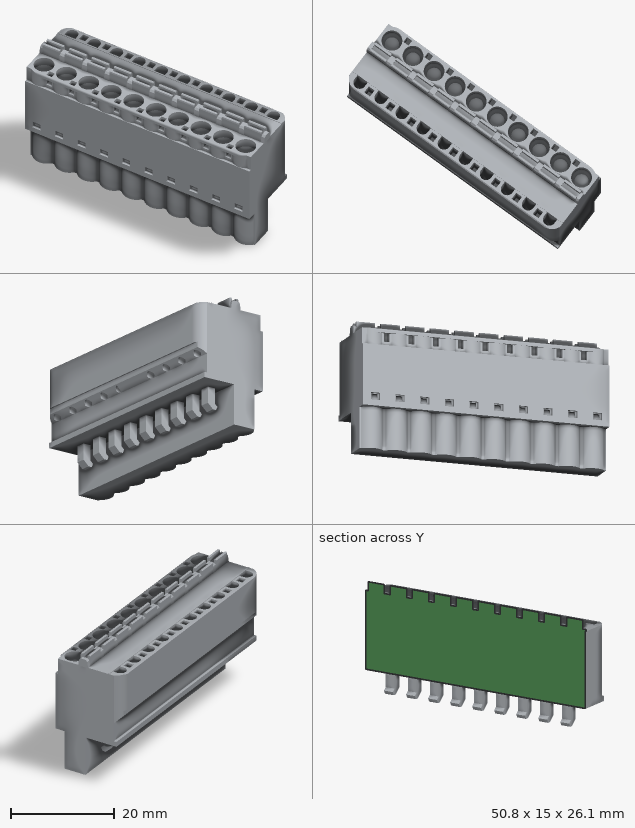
import cadquery as cq
import math


POLES = 10
BODY_LENGTH = 50.65
RAIL_LENGTH = 50.8
PITCH = BODY_LENGTH / POLES
FIRST_POLE = PITCH / 2
POLE_XS = [FIRST_POLE + i * PITCH for i in range(POLES)]
GAP_XS = [x + PITCH / 2 for x in POLE_XS[:-1]]

HOUSING_DEPTH = 13.3
HOUSING_BOTTOM = 8.25
HOUSING_TOP = 23.7
LIP_BACK = 13.9
LIP_HEIGHT = 1.05

PLUG_FRONT = 1.0
PLUG_FLAT = 2.05
PLUG_BACK = 6.85
PLUG_BULGE_HALF_WIDTH = 2.25

SCREW_Y = 2.85
SCREW_DIA = 4.0
SCREW_FLOOR_DIA = 2.75
SCREW_STRAIGHT_DEPTH = 1.85
SCREW_SEAT_DEPTH = 1.0

BAND_BOTTOM = 20.45
BAND_FLAT_Y = 0.55
BAND_APEX_Y = 0.075
BAND_RADIUS = SCREW_Y - BAND_APEX_Y
SLAT_BOTTOM = 22.9
FRONT_ROUND = 0.3
NOTCH_WIDTH = 1.2
NOTCH_BACK = 1.75
NOTCH_FLOOR = 21.25

BOSS_BACK = 15.0
BOSS_STEP_Y = 14.7
BOSS_STEP_Z = 15.7
BOSS_SLOPE_TOP = 14.6
BOSS_CORNER_RADIUS = 2.65
BOSS_TOP_CHAMFER = 0.2
RIDGE_FRONT = 12.0
RIDGE_BACK = 12.3
RIDGE_HEIGHT = 0.1
BOSS_SLOPE_BOTTOM = BOSS_SLOPE_TOP - (BOSS_STEP_Y - HOUSING_DEPTH)

WIRE_RADIUS = 1.2
WIRE_Y = 13.25
TROUGH_ANGLE = 35.0
POCKET_WIDTH = 1.35
POCKET_FRONT = 12.8
POCKET_BACK = 14.3
POCKET_DEPTH = 4.05

TAB_TOP = 26.1
TAB_WIDTH = 3.85
TAB_THICKNESS = 0.55
TAB_FRONT = 5.4
TAB_BACK = 7.5
TAB_CHAMFER = 0.15
FRONT_TAB_SETBACK = 0.075
FRONT_TAB_SLOPE_HEIGHT = 0.3
GROOVE_FLOOR = 25.1
GROOVE_FILLET = 0.3
BRIDGE_TOP = 25.4
BRIDGE_FRONT = 5.3
BRIDGE_BACK = 7.55
BRIDGE_DRAFT = 0.2
BRIDGE_CHAMFER = 0.35

WINDOW_WIDTH = 1.9
WINDOW_HEIGHT = 1.4
WINDOW_Z = 10.1
WINDOW_DEPTH = 0.5
WINDOW_INNER_WIDTH = 1.25
WINDOW_INNER_HEIGHT = 0.9
WINDOW_INNER_Z = 10.2
WINDOW_INNER_DEPTH = 0.75

HOOK_WIDTH = 2.05
HOOK_BACK = 10.15
HOOK_FRONT = 8.5
HOOK_NOSE = 7.85
HOOK_TIP = 3.8
HOOK_HEEL_RISE = 1.1
HOOK_HEEL_RUN = 1.2
HOOK_NOSE_RUN = 0.35
HOOK_NOSE_RISE = 0.7
HOOK_THROAT_RISE = 1.25


def box(x0, x1, y0, y1, z0, z1):
    return cq.Workplane("XY").box(x1 - x0, y1 - y0, z1 - z0, centered=False).translate((x0, y0, z0))


def prism_along_x(points, x0, x1):
    """Solid with a (y, z) outline, running from x0 to x1."""
    return cq.Workplane("YZ").polyline(points).close().extrude(x1 - x0).translate((x0, 0, 0))


def centred_box(x, width, y0, y1, z0, z1):
    return box(x - width / 2, x + width / 2, y0, y1, z0, z1)


def scalloped_block(flat_y, apex_y, half_width, back_y, z0, z1):
    """Block whose front carries one round bulge per pole."""
    outline = cq.Workplane("XY").moveTo(0, back_y).lineTo(0, flat_y)
    for x in POLE_XS:
        outline = outline.lineTo(x - half_width, flat_y)
        outline = outline.threePointArc((x, apex_y), (x + half_width, flat_y))
    outline = outline.lineTo(BODY_LENGTH, flat_y).lineTo(BODY_LENGTH, back_y).close()
    return outline.extrude(z1 - z0).translate((0, 0, z0))


def make_housing():
    main = box(0, BODY_LENGTH, 0, HOUSING_DEPTH, HOUSING_BOTTOM, BAND_BOTTOM)
    upper = box(0, BODY_LENGTH, NOTCH_BACK, HOUSING_DEPTH, BAND_BOTTOM, HOUSING_TOP)
    lip = box(0, BODY_LENGTH, HOUSING_DEPTH, LIP_BACK, HOUSING_BOTTOM, HOUSING_BOTTOM + LIP_HEIGHT)
    ridge = box(0, BODY_LENGTH, RIDGE_FRONT, RIDGE_BACK, HOUSING_TOP, HOUSING_TOP + RIDGE_HEIGHT)
    return main.union(upper).union(lip).union(ridge)


def make_front_band():
    half_width = math.sqrt(BAND_RADIUS**2 - (SCREW_Y - BAND_FLAT_Y) ** 2)
    band = scalloped_block(BAND_FLAT_Y, BAND_APEX_Y, half_width, NOTCH_BACK, BAND_BOTTOM, HOUSING_TOP)
    for x in GAP_XS:
        band = band.cut(centred_box(x, NOTCH_WIDTH, 0, NOTCH_BACK, NOTCH_FLOOR, HOUSING_TOP))
    slat = box(POLE_XS[0], POLE_XS[-1], BAND_APEX_Y, BAND_FLAT_Y, SLAT_BOTTOM, HOUSING_TOP)
    round_inset = FRONT_ROUND * (1 - math.sqrt(0.5))
    edge_waste = (
        cq.Workplane("YZ")
        .moveTo(BAND_APEX_Y, HOUSING_TOP - FRONT_ROUND)
        .threePointArc(
            (BAND_APEX_Y + round_inset, HOUSING_TOP - round_inset),
            (BAND_APEX_Y + FRONT_ROUND, HOUSING_TOP),
        )
        .lineTo(BAND_APEX_Y, HOUSING_TOP)
        .close()
        .extrude(BODY_LENGTH)
    )
    return band.union(slat).cut(edge_waste)


def make_rear_boss():
    profile = prism_along_x(
        [
            (RIDGE_BACK, BOSS_SLOPE_BOTTOM),
            (HOUSING_DEPTH, BOSS_SLOPE_BOTTOM),
            (BOSS_STEP_Y, BOSS_SLOPE_TOP),
            (BOSS_STEP_Y, BOSS_STEP_Z),
            (BOSS_BACK, BOSS_STEP_Z),
            (BOSS_BACK, HOUSING_TOP - BOSS_TOP_CHAMFER),
            (BOSS_BACK - BOSS_TOP_CHAMFER, HOUSING_TOP),
            (RIDGE_BACK, HOUSING_TOP),
        ],
        0,
        BODY_LENGTH,
    )
    centre_y = BOSS_BACK - BOSS_CORNER_RADIUS
    first, last = POLE_XS[0], POLE_XS[-1]
    end_y = centre_y + math.sqrt(BOSS_CORNER_RADIUS**2 - first**2)
    mid_angle = (math.atan2(end_y - centre_y, first) + math.pi / 2) / 2
    mid_dx = BOSS_CORNER_RADIUS * math.cos(mid_angle)
    mid_y = centre_y + BOSS_CORNER_RADIUS * math.sin(mid_angle)
    plan = (
        cq.Workplane("XY")
        .moveTo(0, RIDGE_BACK)
        .lineTo(0, end_y)
        .threePointArc((first - mid_dx, mid_y), (first, BOSS_BACK))
        .lineTo(last, BOSS_BACK)
        .threePointArc((last + mid_dx, mid_y), (BODY_LENGTH, end_y))
        .lineTo(BODY_LENGTH, RIDGE_BACK)
        .close()
        .extrude(HOUSING_TOP)
    )
    return profile.intersect(plan)


def make_wire_slot():
    """Slot at x = 0: a U-shaped shaft ending in a round trough that leaves through the sloped rear."""
    shaft = (
        cq.Workplane("XY")
        .moveTo(-WIRE_RADIUS, RIDGE_BACK)
        .lineTo(-WIRE_RADIUS, WIRE_Y)
        .threePointArc((0, WIRE_Y + WIRE_RADIUS), (WIRE_RADIUS, WIRE_Y))
        .lineTo(WIRE_RADIUS, RIDGE_BACK)
        .close()
        .extrude(HOUSING_TOP)
    )
    trough_reach = 2 * HOUSING_TOP
    angle = math.radians(TROUGH_ANGLE)
    trough_plane = cq.Plane(
        origin=(0, HOUSING_DEPTH, BOSS_SLOPE_BOTTOM),
        xDir=(-1, 0, 0),
        normal=(0, math.sin(angle), -math.cos(angle)),
    )
    trough = (
        cq.Workplane(trough_plane)
        .moveTo(-WIRE_RADIUS, trough_reach)
        .lineTo(-WIRE_RADIUS, WIRE_RADIUS)
        .threePointArc((0, 0), (WIRE_RADIUS, WIRE_RADIUS))
        .lineTo(WIRE_RADIUS, trough_reach)
        .close()
        .extrude(trough_reach, both=True)
    )
    return shaft.intersect(trough)


def make_screw_hole():
    """Hole at x = 0: straight bore with a conical seat and a flat floor."""
    radius = SCREW_DIA / 2
    floor_radius = SCREW_FLOOR_DIA / 2
    seat_z = HOUSING_TOP - SCREW_STRAIGHT_DEPTH
    floor_z = seat_z - SCREW_SEAT_DEPTH
    return (
        cq.Workplane("XZ")
        .moveTo(0, floor_z)
        .lineTo(floor_radius, floor_z)
        .lineTo(radius, seat_z)
        .lineTo(radius, HOUSING_TOP)
        .lineTo(0, HOUSING_TOP)
        .close()
        .revolve(360, (0, 0, 0), (0, 1, 0))
        .translate((0, SCREW_Y, 0))
    )


def make_window():
    """Stepped rectangular window at x = 0 whose inner step has a sloping floor."""
    outer_bottom = WINDOW_Z - WINDOW_HEIGHT / 2
    outer = centred_box(0, WINDOW_WIDTH, 0, WINDOW_DEPTH, outer_bottom, outer_bottom + WINDOW_HEIGHT)
    inner_bottom = WINDOW_INNER_Z - WINDOW_INNER_HEIGHT / 2
    inner_top = inner_bottom + WINDOW_INNER_HEIGHT
    inner = prism_along_x(
        [
            (WINDOW_DEPTH, inner_bottom),
            (WINDOW_DEPTH + WINDOW_INNER_DEPTH, inner_top),
            (WINDOW_DEPTH, inner_top),
        ],
        -WINDOW_INNER_WIDTH / 2,
        WINDOW_INNER_WIDTH / 2,
    )
    return outer.union(inner)


def make_rail():
    shoulder_front = BRIDGE_FRONT + BRIDGE_DRAFT
    shoulder_back = BRIDGE_BACK - BRIDGE_DRAFT
    bridge_outline = [
        (BRIDGE_FRONT, HOUSING_TOP),
        (shoulder_front, BRIDGE_TOP - BRIDGE_CHAMFER),
        (shoulder_front + BRIDGE_CHAMFER, BRIDGE_TOP),
        (shoulder_back - BRIDGE_CHAMFER, BRIDGE_TOP),
        (shoulder_back, BRIDGE_TOP - BRIDGE_CHAMFER),
        (BRIDGE_BACK, HOUSING_TOP),
    ]
    groove_front = TAB_FRONT + TAB_THICKNESS
    groove_back = TAB_BACK - TAB_THICKNESS
    tab_outline = [
        (TAB_FRONT, HOUSING_TOP),
        (TAB_FRONT, TAB_TOP - FRONT_TAB_SLOPE_HEIGHT),
        (TAB_FRONT + FRONT_TAB_SETBACK, TAB_TOP),
        (groove_front, TAB_TOP),
        (groove_front, GROOVE_FLOOR),
        (groove_back, GROOVE_FLOOR),
        (groove_back, TAB_TOP - TAB_CHAMFER),
        (groove_back + TAB_CHAMFER, TAB_TOP),
        (TAB_BACK - TAB_CHAMFER, TAB_TOP),
        (TAB_BACK, TAB_TOP - TAB_CHAMFER),
        (TAB_BACK, HOUSING_TOP),
    ]
    groove_corner = cq.selectors.NearestToPointSelector((0, groove_back, GROOVE_FLOOR))
    tab_pair = prism_along_x(tab_outline, -TAB_WIDTH / 2, TAB_WIDTH / 2)
    tab_pair = tab_pair.edges("|X").edges(groove_corner).fillet(GROOVE_FILLET)
    bridge_starts = [0] + [x + TAB_WIDTH / 2 for x in POLE_XS]
    bridge_ends = [x - TAB_WIDTH / 2 for x in POLE_XS] + [RAIL_LENGTH]
    rail = prism_along_x(bridge_outline, bridge_starts[0], bridge_ends[0])
    for x, start, end in zip(POLE_XS, bridge_starts[1:], bridge_ends[1:]):
        rail = rail.union(tab_pair.translate((x, 0, 0)))
        rail = rail.union(prism_along_x(bridge_outline, start, end))
    return rail


def make_hook():
    """Latch hook at x = 0, hanging from the housing with its nose toward the plugs."""
    outline = [
        (HOOK_BACK, HOUSING_BOTTOM),
        (HOOK_BACK, HOOK_TIP + HOOK_HEEL_RISE),
        (HOOK_BACK - HOOK_HEEL_RUN, HOOK_TIP),
        (HOOK_NOSE + HOOK_NOSE_RUN, HOOK_TIP),
        (HOOK_NOSE, HOOK_TIP + HOOK_NOSE_RISE),
        (HOOK_FRONT, HOOK_TIP + HOOK_THROAT_RISE),
        (HOOK_FRONT, HOUSING_BOTTOM),
    ]
    return prism_along_x(outline, -HOOK_WIDTH / 2, HOOK_WIDTH / 2)


plugs = scalloped_block(PLUG_FLAT, PLUG_FRONT, PLUG_BULGE_HALF_WIDTH, PLUG_BACK, 0, HOUSING_BOTTOM)
result = make_housing().union(make_front_band()).union(make_rear_boss()).union(plugs).union(make_rail())

hook = make_hook()
pocket_floor = HOUSING_TOP - POCKET_DEPTH
pocket = centred_box(0, POCKET_WIDTH, POCKET_FRONT, POCKET_BACK, pocket_floor, HOUSING_TOP)
for x in GAP_XS:
    result = result.union(hook.translate((x, 0, 0)))
    result = result.cut(pocket.translate((x, 0, 0)))

pole_cutouts = make_wire_slot().union(make_screw_hole()).union(make_window())
for x in POLE_XS:
    result = result.cut(pole_cutouts.translate((x, 0, 0)))